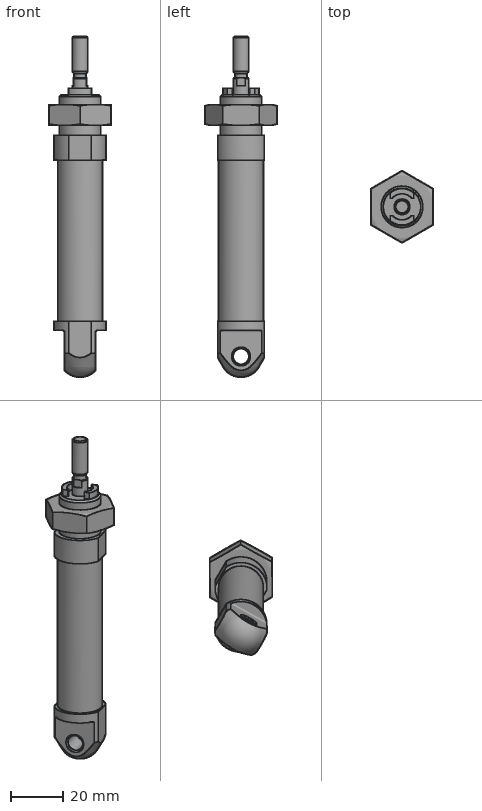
import cadquery as cq
import math


total_height = 131.0
rod_tip_to_mounting_shoulder = 38.0
shoulder_z = total_height - rod_tip_to_mounting_shoulder
neck_length = 15.5
neck_top_z = shoulder_z + neck_length

cap_diameter = 20.0
cap_width_over_flats = 18.0
bearing_cap_length = 9.6
bearing_cap_bottom_z = shoulder_z - bearing_cap_length
end_cap_top_z = 21.6

tube_diameter = 17.3

eye_radius = 8.0
eye_centre_z = eye_radius
eye_cone_half_angle = 30.0
eye_thickness = 12.0
eye_top_z = 18.0
eye_corner_radius = 0.7
pin_hole_diameter = 6.0
pin_hole_chamfer = 0.6

neck_diameter = 16.0
neck_tip_diameter = 14.38
neck_chamfer = (neck_diameter - neck_tip_diameter) / 2
lug_outer_diameter = 14.0
lug_inner_diameter = 10.0
lug_width = 9.0
lug_gap = 6.7
lug_height = 2.6

rod_diameter = 6.0
rod_tip_diameter = 4.8
rod_tip_chamfer = 0.5
undercut_diameter = 4.8
undercut_slope_length = 0.8
shoulder_chamfer = 0.25
undercut_corner_radius = (rod_diameter - undercut_diameter) / 2 - shoulder_chamfer
thread_and_undercut_length = 16.0
undercut_length = 2.5
wrench_width = 5.0
wrench_flat_length = 3.0

nut_width = 24.0
nut_height = 8.0
nut_gap_above_shoulder = 3.8
nut_bottom_z = shoulder_z + nut_gap_above_shoulder
nut_face_diameter = 24.0
nut_chamfer_angle = 15.0


def cylinder(diameter, bottom_z, top_z):
    return cq.Workplane("XY").workplane(offset=bottom_z).circle(diameter / 2).extrude(top_z - bottom_z)


def slab(x_size, y_size, bottom_z, top_z):
    base = cq.Workplane("XY").workplane(offset=bottom_z)
    return base.rect(x_size, y_size).extrude(top_z - bottom_z)


def turned(profile):
    """Revolve a closed radius/height outline around Z."""
    return profile.close().revolve(360, (0, 0, 0), (0, 1, 0))


def flatted_cap(bottom_z, top_z):
    block = cylinder(cap_diameter, bottom_z, top_z)
    return block.intersect(slab(cap_diameter, cap_width_over_flats, bottom_z, top_z))


def end_cap():
    """Spherical eye end that runs tangentially into a cone and then into the cap."""
    slope = math.radians(eye_cone_half_angle)
    tangent_radius = eye_radius * math.cos(slope)
    tangent_z = eye_centre_z - eye_radius * math.sin(slope)
    middle_angle = (slope + math.pi / 2) / 2
    arc_middle = (
        eye_radius * math.cos(middle_angle),
        eye_centre_z - eye_radius * math.sin(middle_angle),
    )
    cone_top_z = tangent_z + (cap_diameter / 2 - tangent_radius) / math.tan(slope)
    outline = (
        cq.Workplane("XZ")
        .threePointArc(arc_middle, (tangent_radius, tangent_z))
        .lineTo(cap_diameter / 2, cone_top_z)
        .lineTo(cap_diameter / 2, end_cap_top_z)
        .lineTo(0, end_cap_top_z)
    )
    cap = turned(outline).intersect(flatted_cap(0, end_cap_top_z))
    for side in (-1, 1):
        cap = cap.cut(eye_side_cut(side))
    return cap.cut(pin_hole())


def eye_side_cut(side):
    """Material removed beside the eye, with a rounded inner corner at the top."""
    inner_x = eye_thickness / 2
    cut = slab(cap_diameter, cap_diameter, 0, eye_top_z)
    cut = cut.translate((side * (inner_x + cap_diameter / 2), 0, 0))
    inner_face = "<X" if side > 0 else ">X"
    return cut.faces(inner_face).edges(">Z").fillet(eye_corner_radius)


def pin_hole():
    half = eye_thickness / 2
    radius = pin_hole_diameter / 2
    mouth_radius = radius + pin_hole_chamfer
    hole = (
        cq.Workplane("XY")
        .moveTo(-half, 0)
        .lineTo(-half, mouth_radius)
        .lineTo(-half + pin_hole_chamfer, radius)
        .lineTo(half - pin_hole_chamfer, radius)
        .lineTo(half, mouth_radius)
        .lineTo(half, 0)
        .close()
        .revolve(360, (0, 0, 0), (1, 0, 0))
    )
    return hole.translate((0, 0, eye_centre_z))


def key_lugs():
    """Two ring segments on the neck face, one on each side of the rod."""
    lug_top_z = neck_top_z + lug_height
    ring = cylinder(lug_outer_diameter, neck_top_z, lug_top_z)
    ring = ring.cut(cylinder(lug_inner_diameter, neck_top_z, lug_top_z))
    lugs = ring.intersect(slab(lug_width, lug_outer_diameter, neck_top_z, lug_top_z))
    return lugs.cut(slab(lug_width, lug_gap, neck_top_z, lug_top_z))


def make_housing():
    neck = cylinder(neck_diameter, shoulder_z, neck_top_z).faces(">Z").chamfer(neck_chamfer)
    return (
        end_cap()
        .union(cylinder(tube_diameter, end_cap_top_z, bearing_cap_bottom_z))
        .union(flatted_cap(bearing_cap_bottom_z, shoulder_z))
        .union(neck)
        .union(key_lugs())
    )


def make_rod():
    radius = rod_diameter / 2
    undercut_radius = undercut_diameter / 2
    undercut_bottom_z = total_height - thread_and_undercut_length
    undercut_top_z = undercut_bottom_z + undercut_length
    corner_top_z = undercut_bottom_z + undercut_corner_radius
    corner_middle = (
        undercut_radius + undercut_corner_radius * (1 - math.cos(math.pi / 4)),
        corner_top_z - undercut_corner_radius * math.sin(math.pi / 4),
    )
    outline = (
        cq.Workplane("XZ")
        .moveTo(0, neck_top_z)
        .lineTo(radius, neck_top_z)
        .lineTo(radius, undercut_bottom_z - shoulder_chamfer)
        .lineTo(radius - shoulder_chamfer, undercut_bottom_z)
        .threePointArc(corner_middle, (undercut_radius, corner_top_z))
        .lineTo(undercut_radius, undercut_top_z - undercut_slope_length)
        .lineTo(radius, undercut_top_z)
        .lineTo(radius, total_height - rod_tip_chamfer)
        .lineTo(rod_tip_diameter / 2, total_height)
        .lineTo(0, total_height)
    )
    rod = turned(outline)
    flat_bottom_z = undercut_bottom_z - wrench_flat_length
    for side in (-1, 1):
        flat = slab(rod_diameter, rod_diameter, flat_bottom_z, corner_top_z)
        rod = rod.cut(flat.translate((side * (wrench_width + rod_diameter) / 2, 0, 0)))
    return rod


def make_nut():
    """Hexagon with corners on the Y axis, both faces chamfered, fitting around the neck."""
    across_corners = nut_width / math.cos(math.radians(30))
    corner_radius = across_corners / 2
    face_radius = nut_face_diameter / 2
    chamfer_height = (corner_radius - face_radius) * math.tan(math.radians(nut_chamfer_angle))
    hexagon = cq.Workplane("XY").polygon(6, across_corners).extrude(nut_height)
    hexagon = hexagon.rotate((0, 0, 0), (0, 0, 1), 30)
    envelope = turned(
        cq.Workplane("XZ")
        .lineTo(face_radius, 0)
        .lineTo(corner_radius, chamfer_height)
        .lineTo(corner_radius, nut_height - chamfer_height)
        .lineTo(face_radius, nut_height)
        .lineTo(0, nut_height)
    )
    nut = hexagon.intersect(envelope).cut(cylinder(neck_diameter, 0, nut_height))
    return nut.translate((0, 0, nut_bottom_z))


housing = make_housing()
rod = make_rod()
nut = make_nut()

result = cq.Compound.makeCompound([housing.val(), rod.val(), nut.val()])